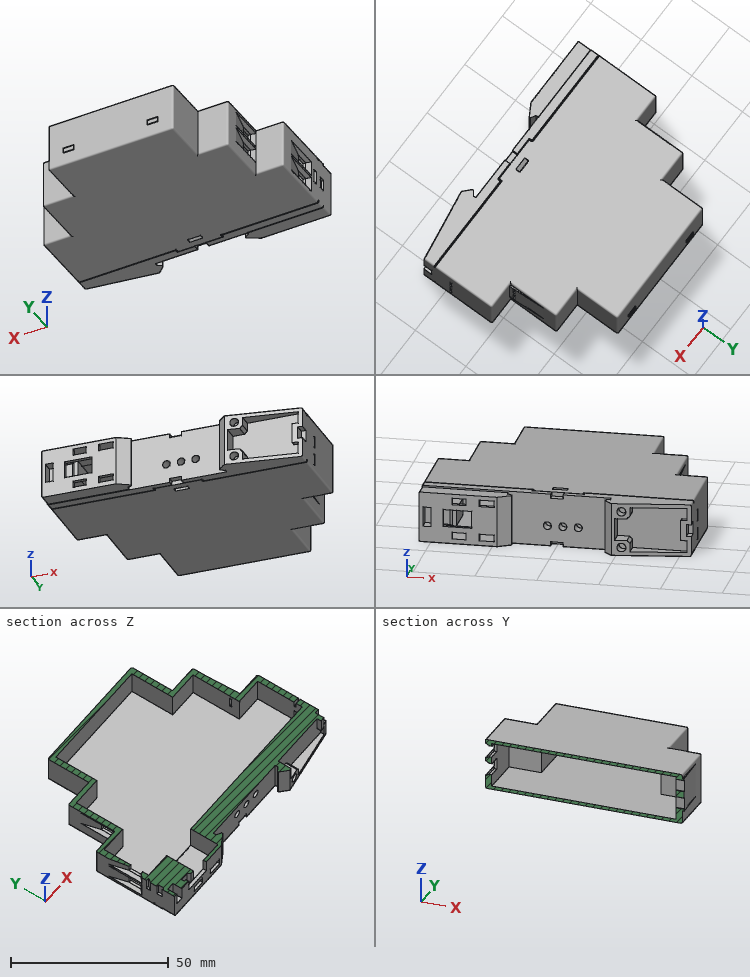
import cadquery as cq

LENGTH = 87.4
WIDTH = 17.5
HEIGHT = 65.3
RAIL_Y = 4.9
EDGE_RADIUS = 0.6
HALF_LENGTH = LENGTH / 2
HALF_WIDTH = WIDTH / 2

LIGHT_PIPE_HEIGHT = 0.35
TIERS = [
    (HALF_LENGTH, 30.85),
    (33.7, 48.95),
    (22.7, HEIGHT - LIGHT_PIPE_HEIGHT),
]

END_WALL = 2.3
SIDE_WALL = 1.3
LEDGE_WALL = 1.75
CAVITY_BOTTOM = 11.8

LIGHT_PIPE_X = 15.3
LIGHT_PIPE_Z = -3.15
LIGHT_PIPE_LENGTH = 3.8
LIGHT_PIPE_WIDTH = 1.75

FUNNEL_HEIGHT = 12.9
FUNNEL_WIDTH = 5.3
FUNNEL_DEPTH = 1.3
OPENING_HEIGHT = 4.6
OPENING_WIDTH = 3.8
OPENING_RISE = 1.3
TERMINAL_PITCH = 6.2
FAR_SLIT_HEIGHT = 0.7
TERMINAL_ROWS = [
    (TIERS[0][0], 12.85, -1.6),
    (TIERS[1][0], TIERS[0][1], 1.6),
]
FLAP_HEIGHT = FUNNEL_HEIGHT
FLAP_RISE = 0.6

SEAM_Y = 7.9
SEAM_WIDTH = 0.35
SEAM_DEPTH = 0.8
TAB_HALF_LENGTH = 8.0
TAB_BOTTOM = 7.0
TAB_GAP = 0.2
TAB_NOTCH_LENGTH = 4.0
TAB_NOTCH_DEPTH = 1.4

SNAP_LENGTH = 4.7
SNAP_BOTTOM = 9.5
SNAP_HEIGHT = 1.5
SNAP_DEPTH = 1.1
SNAP_PROFILE = [
    (SNAP_BOTTOM, 0),
    (SNAP_BOTTOM + SNAP_HEIGHT, 0),
    (SNAP_BOTTOM + SNAP_HEIGHT, SNAP_DEPTH),
]

END_SLOT_WIDTH = 4.0
END_SLOT_TOP = 6.9
NEAR_SLOT_DEPTH = 0.8
FAR_SLOT_DEPTH = 1.6

RAIL_HOLE_DIAMETER = 2.5
RAIL_HOLE_X = 1.9
RAIL_HOLE_Z = -2.0
RAIL_HOLE_PITCH = 5.0
SCREW_HOLE_DIAMETER = 2.8
SCREW_HOLE_X = 21.8
SCREW_HOLE_Z = 6.0
HOLE_DEPTH = 3.5

HOOK_NECK_Y = 3.9
NOSE_TOP = 3.0
NOSE_BOTTOM = 2.45

NEAR_FOOT_MIN_Z = -8.5
NEAR_FOOT_MAX_Z = 8.2
NEAR_FOOT_END = -18.35
NEAR_NOSE_X = -14.2
NEAR_NECK_X = -15.8
FOOT_WALL = 1.2
FOOT_CAVITY_MIN_X = -36.7
FOOT_CAVITY_MAX_X = -18.8
FOOT_CAVITY_TOP = CAVITY_BOTTOM
LATCH_WINDOW = (-35.9, -26.6)
LATCH_WINDOW_WIDTH = 5.7
LATCH_RAMP = (-34.0, -33.0)
LATCH_END = -31.7
LATCH_FLOOR = 2.2
END_POCKET = (-42.4, -39.8)
END_POCKET_WIDTH = 6.5
END_POCKET_DEPTH = 3.5
FOOT_SLOTS = [(-32.95, -28.5), (-24.2, -19.3)]
FOOT_SLOT_Z = 5.8
FOOT_SLOT_WIDTH = 2.2
FOOT_CAVITY_WIDTH = 2 * FOOT_SLOT_Z + FOOT_SLOT_WIDTH

FAR_FOOT_START = 18.6
FAR_NOSE_X = 16.0
FAR_NECK_X = 17.5
POCKET_FLOOR = 5.1
POCKET_HALF_WIDTH = 7.4
POCKET_START = 19.6
POCKET_NECK_HALF_WIDTH = 3.7
POCKET_NECK_END = 23.5
POCKET_SHOULDER = 24.5
POCKET_END = 42.3
POCKET_STOP_X = 40.4
POCKET_STOP_HALF_WIDTH = 3.4


def block(x_range, y_range, z_range):
    """Box given by its limits along the three axes."""
    limits = (x_range, y_range, z_range)
    sizes = [high - low for low, high in limits]
    corner = cq.Vector(*[low for low, high in limits])
    return cq.Workplane(cq.Solid.makeBox(*sizes, corner))


def centred(middle, size):
    """Limits of a length laid evenly about its middle."""
    return (middle - size / 2, middle + size / 2)


def prism(points, z_range):
    """Outline in X and Y, extruded between two Z levels."""
    low, high = z_range
    return cq.Workplane("XY").workplane(offset=low).polyline(points).close().extrude(high - low)


def round_hole(x, z, diameter, start, end):
    """Round hole cutter along Y."""
    radius = diameter / 2
    centre = cq.Vector(x, start, z)
    return cq.Workplane(cq.Solid.makeCylinder(radius, end - start, centre, cq.Vector(0, 1, 0)))


def stepped_housing():
    housing = cq.Workplane("XY")
    for half_length, top in TIERS:
        tier = block((-half_length, half_length), (RAIL_Y, top), (-HALF_WIDTH, HALF_WIDTH))
        housing = housing.union(tier.edges("not <Y").fillet(EDGE_RADIUS))
    return housing


def housing_cavity():
    cavity = cq.Workplane("XY")
    inner_z = HALF_WIDTH - SIDE_WALL
    for half_length, top in TIERS:
        inner_x = half_length - END_WALL
        cavity = cavity.union(
            block((-inner_x, inner_x), (CAVITY_BOTTOM, top - LEDGE_WALL), (-inner_z, inner_z))
        )
    return cavity


def near_foot():
    outline = [
        (-HALF_LENGTH, 0),
        (NEAR_FOOT_END, 0),
        (NEAR_NOSE_X, NOSE_BOTTOM),
        (NEAR_NOSE_X, NOSE_TOP),
        (NEAR_NECK_X, HOOK_NECK_Y),
        (NEAR_NECK_X, RAIL_Y),
        (-HALF_LENGTH, RAIL_Y),
    ]
    foot = prism(outline, (NEAR_FOOT_MIN_Z, NEAR_FOOT_MAX_Z))
    return foot.faces("<X").edges("|Y").fillet(EDGE_RADIUS)


def near_foot_cutter():
    """Cavity of the near foot, the openings in its underside and the latch left standing in it."""
    half_cavity = FOOT_CAVITY_WIDTH / 2
    cutter = block(
        (FOOT_CAVITY_MIN_X, FOOT_CAVITY_MAX_X), (FOOT_WALL, FOOT_CAVITY_TOP), (-half_cavity, half_cavity)
    )
    latch_outline = [
        (FOOT_CAVITY_MIN_X, LATCH_FLOOR),
        (LATCH_RAMP[0], LATCH_FLOOR),
        (LATCH_RAMP[1], FOOT_WALL),
        (LATCH_END, FOOT_WALL),
        (LATCH_END, FOOT_CAVITY_TOP),
        (FOOT_CAVITY_MIN_X, FOOT_CAVITY_TOP),
    ]
    cutter = cutter.cut(prism(latch_outline, centred(0, LATCH_WINDOW_WIDTH)))
    cutter = cutter.union(block(LATCH_WINDOW, (0, FOOT_WALL), centred(0, LATCH_WINDOW_WIDTH)))
    cutter = cutter.union(block(END_POCKET, (0, END_POCKET_DEPTH), centred(0, END_POCKET_WIDTH)))
    for slot in FOOT_SLOTS:
        for side in (-1, 1):
            slot_z = centred(side * FOOT_SLOT_Z, FOOT_SLOT_WIDTH)
            cutter = cutter.union(block(slot, (0, FOOT_WALL), slot_z))
    return cutter


def far_foot():
    outline = [
        (FAR_NECK_X, RAIL_Y),
        (FAR_NECK_X, HOOK_NECK_Y),
        (FAR_NOSE_X, NOSE_TOP),
        (FAR_NOSE_X, NOSE_BOTTOM),
        (FAR_FOOT_START, 0),
        (HALF_LENGTH, HOOK_NECK_Y),
        (HALF_LENGTH, RAIL_Y),
    ]
    foot = prism(outline, (-HALF_WIDTH, HALF_WIDTH))
    return foot.faces(">X").edges("|Y").fillet(EDGE_RADIUS)


def far_foot_pocket():
    shoulder_z = POCKET_NECK_HALF_WIDTH + POCKET_SHOULDER - POCKET_NECK_END
    upper = [
        (POCKET_START, POCKET_NECK_HALF_WIDTH),
        (POCKET_NECK_END, POCKET_NECK_HALF_WIDTH),
        (POCKET_SHOULDER, shoulder_z),
        (POCKET_SHOULDER, POCKET_HALF_WIDTH),
        (POCKET_END, POCKET_HALF_WIDTH),
        (POCKET_END, POCKET_STOP_HALF_WIDTH),
        (POCKET_STOP_X, POCKET_STOP_HALF_WIDTH),
    ]
    lower = [(x, -z) for x, z in reversed(upper)]
    return cq.Workplane("XZ").polyline(upper + lower).close().extrude(-POCKET_FLOOR)


def terminal_cutter(face_x, bottom, z):
    """Funnel into the -X wall, its wire opening, and a slit through the opposite wall."""
    opening_bottom = bottom + OPENING_RISE
    opening_y = (opening_bottom, opening_bottom + OPENING_HEIGHT)
    opening_z = centred(z, OPENING_WIDTH)
    opening_middle = sum(opening_y) / 2
    funnel_middle = bottom + FUNNEL_HEIGHT / 2
    funnel = (
        cq.Workplane("YZ", origin=(-face_x, 0, 0))
        .center(funnel_middle, z)
        .rect(FUNNEL_HEIGHT, FUNNEL_WIDTH)
        .workplane(offset=FUNNEL_DEPTH)
        .center(opening_middle - funnel_middle, 0)
        .rect(OPENING_HEIGHT, OPENING_WIDTH)
        .loft(ruled=True)
    )
    opening = block((-face_x + FUNNEL_DEPTH, -face_x + END_WALL), opening_y, opening_z)
    slit_y = (opening_bottom, opening_bottom + FAR_SLIT_HEIGHT)
    slit = block((face_x - END_WALL, face_x + FLAP_RISE), slit_y, opening_z)
    return funnel.union(opening).union(slit)


def terminal_flap():
    """Thin wedge leaning out over the upper terminals at the +X end."""
    face_x, bottom, middle_z = TERMINAL_ROWS[1]
    outline = [
        (face_x - EDGE_RADIUS, bottom),
        (face_x + FLAP_RISE, bottom),
        (face_x, bottom + FLAP_HEIGHT),
        (face_x - EDGE_RADIUS, bottom + FLAP_HEIGHT),
    ]
    return prism(outline, centred(middle_z, TERMINAL_PITCH + FUNNEL_WIDTH))


def end_snap_slot():
    """Snap slot in the -X end; its floor ramps out towards -Y."""
    outline = [(-HALF_LENGTH + depth, y) for y, depth in SNAP_PROFILE]
    return prism(outline, centred(0, SNAP_LENGTH))


def side_snap_slot():
    """Snap slot in the +Z side; its floor ramps out towards -Y."""
    outline = [(y, HALF_WIDTH - depth) for y, depth in SNAP_PROFILE]
    return cq.Workplane("YZ").polyline(outline).close().extrude(SNAP_LENGTH / 2, both=True)


def side_cutter():
    """Seam groove, tab notch and snap slot of the +Z side."""
    seam_z = (HALF_WIDTH - SEAM_DEPTH, HALF_WIDTH)
    seam_top = SEAM_Y + SEAM_WIDTH
    tab_outer = TAB_HALF_LENGTH + SEAM_WIDTH
    cutter = block((-HALF_LENGTH, HALF_LENGTH), (SEAM_Y, seam_top), seam_z)
    cutter = cutter.union(block((-tab_outer, tab_outer), (TAB_BOTTOM - TAB_GAP, seam_top), seam_z))
    cutter = cutter.cut(block((-TAB_HALF_LENGTH, TAB_HALF_LENGTH), (TAB_BOTTOM, seam_top), seam_z))
    notch_z = (HALF_WIDTH - TAB_NOTCH_DEPTH, HALF_WIDTH)
    cutter = cutter.union(block(centred(0, TAB_NOTCH_LENGTH), (RAIL_Y, TAB_BOTTOM), notch_z))
    return cutter.union(side_snap_slot())


def end_slots():
    """Slots in both ends of the base; the far one also runs down through the foot."""
    slot_z = centred(0, END_SLOT_WIDTH)
    near = block((-HALF_LENGTH, -HALF_LENGTH + NEAR_SLOT_DEPTH), (RAIL_Y, END_SLOT_TOP), slot_z)
    far = block((HALF_LENGTH - FAR_SLOT_DEPTH, HALF_LENGTH), (0, END_SLOT_TOP), slot_z)
    return near.union(far)


result = stepped_housing().cut(housing_cavity()).union(terminal_flap())
for side in (-1, 1):
    pipe_x = centred(side * LIGHT_PIPE_X, LIGHT_PIPE_LENGTH)
    pipe_z = centred(LIGHT_PIPE_Z, LIGHT_PIPE_WIDTH)
    result = result.union(block(pipe_x, (HEIGHT - 2 * LIGHT_PIPE_HEIGHT, HEIGHT), pipe_z))

for face_x, bottom, middle_z in TERMINAL_ROWS:
    for side in (-1, 1):
        result = result.cut(terminal_cutter(face_x, bottom, middle_z + side * TERMINAL_PITCH / 2))

result = result.union(near_foot()).union(far_foot())
result = result.cut(near_foot_cutter()).cut(far_foot_pocket()).cut(end_slots())

upper_side = side_cutter()
result = result.cut(upper_side).cut(upper_side.mirror("XY")).cut(end_snap_slot())

for index in (-1, 0, 1):
    hole_x = RAIL_HOLE_X + index * RAIL_HOLE_PITCH
    result = result.cut(round_hole(hole_x, RAIL_HOLE_Z, RAIL_HOLE_DIAMETER, RAIL_Y, RAIL_Y + HOLE_DEPTH))
for side in (-1, 1):
    result = result.cut(round_hole(SCREW_HOLE_X, side * SCREW_HOLE_Z, SCREW_HOLE_DIAMETER, 0, HOLE_DEPTH))